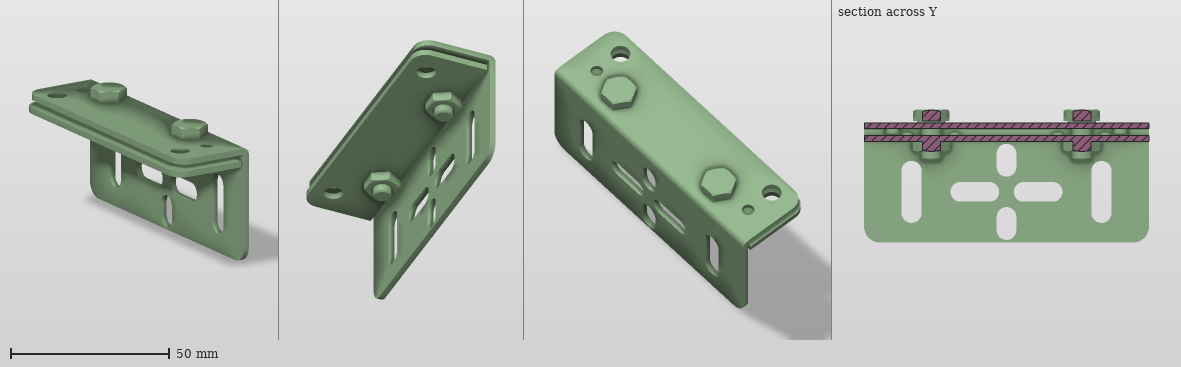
import cadquery as cq
import math

length = 90.0
sheet = 2.0
wall_height = 38.0
flange_depth = 26.0
corner_radius = 5.0
inner_bend_radius = 0.5
outer_bend_radius = 2.0
flange_underside = wall_height - sheet

inner_slot_width = 6.2
outer_slot_width = 6.4
slot_centre_height = 16.0
inner_slot_offset = 10.0
outer_slot_offset = 30.0
short_slot_length = 10.4
level_slot_length = 15.4
long_slot_length = 19.6

plate_gap = 2.0
plate_back = -3.0
plate_front = -27.0
plate_top = flange_underside - plate_gap
plate_bottom = plate_top - sheet

end_feature_x = length / 2 - 9.0
screw_hole_diameter = 6.2
screw_hole_y = -20.0
pin_diameter = 4.0
pin_y = -10.0
pin_height = 1.6
pin_recess_depth = 1.6

bolt_x = 23.75
bolt_y = -8.5
bolt_diameter = 6.0
bolt_length = 12.0
bolt_end_chamfer = 0.5
hex_across_flats = 10.0
hex_across_corners = hex_across_flats / math.cos(math.pi / 6)
hex_chamfer_angle = 30.0
head_height = 4.0
bearing_face_diameter = 9.0
bearing_face_height = 0.4
nut_height = 3.2

boss_diameter = 3.0
boss_height = 0.7
boss_y = -5.5
boss_offset = 7.5


def cylinder(x, y, diameter, bottom, top):
    """Upright cylinder between two heights."""
    disc = cq.Workplane("XY", origin=(x, y, bottom)).circle(diameter / 2)
    return disc.extrude(top - bottom)


def plate(front, back, bottom):
    """Horizontal sheet with its two front corners rounded."""
    blank = cq.Workplane("XY").box(length, back - front, sheet, centered=(True, False, False))
    return blank.translate((0, front, bottom)).edges("|Z and <Y").fillet(corner_radius)


def wall_slot(x, height, slot_length, slot_width, angle):
    """Cutter for a round-ended slot through the back wall."""
    sketch = cq.Workplane("XZ", origin=(x, 0, height)).slot2D(slot_length, slot_width, angle)
    return sketch.extrude(sheet)


def make_bracket():
    wall = cq.Workplane("XY").box(length, sheet, wall_height, centered=(True, False, False))
    wall = wall.translate((0, -sheet, 0)).edges("|Y and <Z").fillet(corner_radius)
    bracket = wall.union(plate(-flange_depth, 0, flange_underside))
    outer_corner = cq.NearestToPointSelector((0, 0, wall_height))
    bracket = bracket.edges(outer_corner).fillet(outer_bend_radius)
    inner_corner = cq.NearestToPointSelector((0, -sheet, flange_underside))
    bracket = bracket.edges(inner_corner).fillet(inner_bend_radius)
    for side in (-1, 1):
        step = side * inner_slot_offset
        upright_height = slot_centre_height + step
        bracket = bracket.cut(wall_slot(0, upright_height, short_slot_length, inner_slot_width, 90))
        bracket = bracket.cut(wall_slot(step, slot_centre_height, level_slot_length, inner_slot_width, 0))
        outer_x = side * outer_slot_offset
        bracket = bracket.cut(wall_slot(outer_x, slot_centre_height, long_slot_length, outer_slot_width, 90))
    return bracket


def add_pressed_pin(bracket, x):
    """Pin pushed out below the flange, leaving a recess in its top face."""
    pin = cylinder(x, pin_y, pin_diameter, flange_underside - pin_height, wall_height)
    recess = cylinder(x, pin_y, pin_diameter, wall_height - pin_recess_depth, wall_height)
    return bracket.union(pin).cut(recess)


def make_clamp_plate():
    clamp = plate(plate_front, plate_back, plate_bottom)
    for side in (-1, 1):
        for offset in (-boss_offset, boss_offset):
            x = side * bolt_x + offset
            clamp = clamp.union(cylinder(x, boss_y, boss_diameter, plate_top, plate_top + boss_height))
    return clamp


def hex_prism(height):
    """Hexagon on Z = 0, corners on the X axis, its top corners turned off conically."""
    prism = cq.Workplane("XY").polygon(6, hex_across_corners).extrude(height)
    corner_drop = (hex_across_corners - hex_across_flats) / 2 * math.tan(math.radians(hex_chamfer_angle))
    envelope = (
        cq.Workplane("XZ")
        .lineTo(hex_across_corners / 2, 0)
        .lineTo(hex_across_corners / 2, height - corner_drop)
        .lineTo(hex_across_flats / 2, height)
        .lineTo(0, height)
        .close()
        .revolve(360, (0, 0), (0, 1))
    )
    return prism.intersect(envelope)


def make_bolt(x):
    """Hexagon bolt through flange and clamp plate, with its nut underneath."""
    bearing_top = wall_height + bearing_face_height
    shank = cylinder(x, bolt_y, bolt_diameter, wall_height - bolt_length, bearing_top)
    shank = shank.faces("<Z").chamfer(bolt_end_chamfer)
    bearing_face = cylinder(x, bolt_y, bearing_face_diameter, wall_height, bearing_top)
    head = hex_prism(head_height - bearing_face_height).translate((x, bolt_y, bearing_top))
    nut = hex_prism(nut_height).rotate((0, 0, 0), (1, 0, 0), 180)
    nut = nut.translate((x, bolt_y, plate_bottom))
    return shank.union(bearing_face).union(head).union(nut)


bracket = make_bracket()
for side in (-1, 1):
    bracket = add_pressed_pin(bracket, side * end_feature_x)

result = bracket.union(make_clamp_plate())
for side in (-1, 1):
    screw_hole = cylinder(side * end_feature_x, screw_hole_y, screw_hole_diameter, plate_bottom, wall_height)
    result = result.cut(screw_hole).union(make_bolt(side * bolt_x))